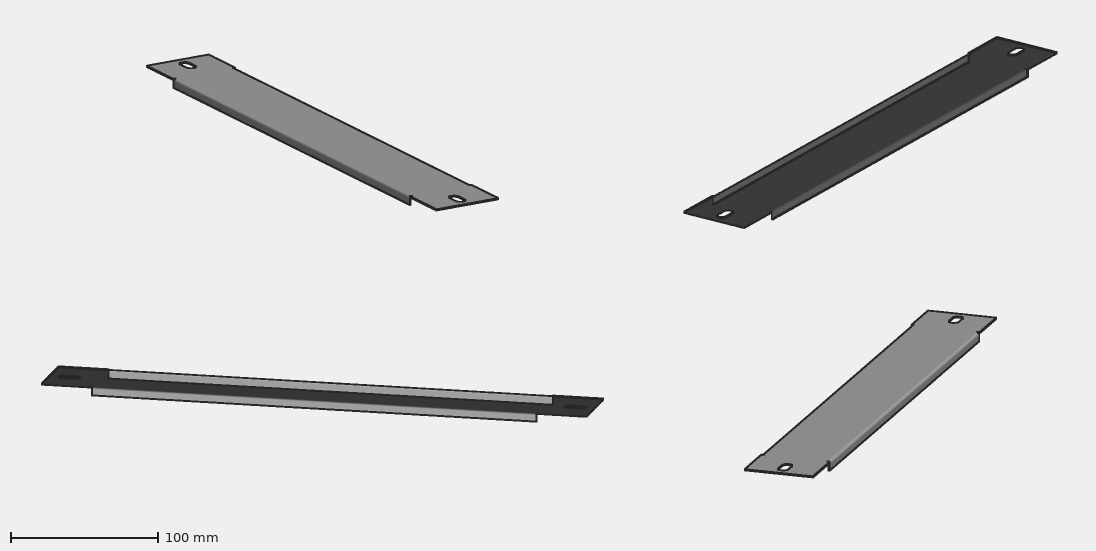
import cadquery as cq

length = 380.0
width = 49.0
height = 6.5

thickness = 1.0
bend_outer_radius = 2.0
bend_inner_radius = bend_outer_radius - thickness
flange_end_inset = 35.0
flange_length = length - 2 * flange_end_inset

slot_length = 15.2
slot_width = 7.2
slot_end_distance = 13.3
slot_spacing = length - 2 * slot_end_distance


def make_folded_strip():
    """Middle stretch: a shallow channel with rounded bends along both long edges."""
    outer = (
        cq.Workplane("XY")
        .box(flange_length, width, height, centered=(True, True, False))
        .edges("|X and >Z")
        .fillet(bend_outer_radius)
    )
    inner = (
        cq.Workplane("XY")
        .box(flange_length, width - 2 * thickness, height - thickness, centered=(True, True, False))
        .edges("|X and >Z")
        .fillet(bend_inner_radius)
    )
    return outer.cut(inner)


def make_end_tab(side):
    """Flat full-width tab beyond the flanges; side is -1 or +1."""
    center_x = side * (length - flange_end_inset) / 2
    return (
        cq.Workplane("XY", origin=(center_x, 0, height - thickness))
        .box(flange_end_inset, width, thickness, centered=(True, True, False))
    )


def make_slots():
    """Cutters for the two mounting slots, long direction along the panel."""
    return (
        cq.Workplane("XY")
        .pushPoints([(-slot_spacing / 2, 0), (slot_spacing / 2, 0)])
        .slot2D(slot_length, slot_width)
        .extrude(height)
    )


panel = make_folded_strip()
for side in (-1, 1):
    panel = panel.union(make_end_tab(side))

result = panel.cut(make_slots())